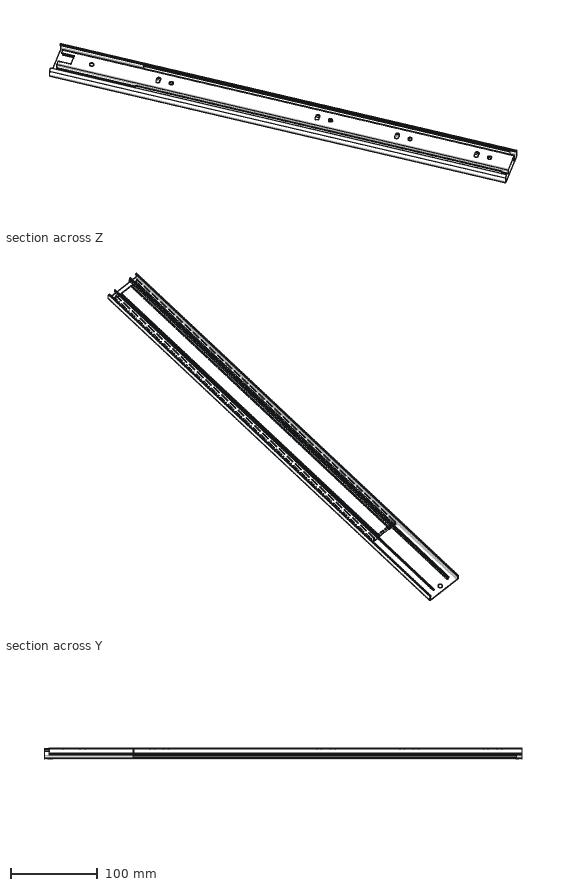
import cadquery as cq
import math


length = 550.0
width = 45.5
height = 12.5

rail_drop = 0.8
rail_floor = 1.2
rail_wall = 1.5
foot_radius = 3.0
wall_step = 1.0
step_bottom = 4.0
step_top = 9.0
lip_radius = 2.5
lip_inner_y = 18.5
rail_hole_x = 6.5
rail_hole_diameter = 5.0

window_length = 3.5
window_width = 3.0
window_end_x = 546.0
window_y = 16.0

cage_start_x = 102.0
cage_end_x = 543.5
cage_bottom = 1.9
cage_sheet = 1.2
cage_foot_y = 17.5
cage_crest_y = 16.5
cage_top = 12.0
bridge_half_width = 8.0
bridge_rise = 1.5
tab_top = 10.5

inner_start_x = 5.5
inner_half_width = 12.5
plate_thickness = 1.2
leg_sheet = 1.4
leg_step = 1.2
leg_step_top = 6.5
leg_step_bottom = 5.5
leg_bottom = 4.7
plate_corner_radius = 1.5
notch_half_width = 6.5
notch_end_x = 21.0

hole_pitch = 34.9 / 2
round_hole_x = 44.0
round_hole_diameter = 5.0
round_hole_steps = (0, 5.5, 16.5, 22, 27.5)
slot_x = 124.5
slot_width = 4.7
slot_height = 8.0
slot_steps = (0, 11, 16.5, 22)


def mirrored_extrusion(half_sketch, start_x, end_x):
    """Extrude along X a closed (Y, Z) half outline on the +Y side and join it to its mirror."""
    half = half_sketch.extrude(end_x - start_x)
    return half.union(half.mirror("XZ")).clean()


def section_plane(start_x):
    """Workplane across the rails at the given X, with local axes along Y and Z."""
    return cq.Workplane("YZ", origin=(start_x, 0, 0))


def floor_cutter(x, y):
    """Workplane on Z = 0 for cutters that run upwards."""
    return cq.Workplane("XY", origin=(x, y, 0))


def step_radius():
    """Radius of the arc that leaves the lower wall tangentially and ends at the upper wall."""
    step_height = step_top - step_bottom
    return (step_height**2 + wall_step**2) / (2 * wall_step)


def make_outer_rail():
    rail_top = height - rail_drop
    lower_outer_y = width / 2
    lower_inner_y = lower_outer_y - rail_wall
    upper_outer_y = lower_outer_y - wall_step
    upper_inner_y = upper_outer_y - rail_wall
    lip_center_y = upper_outer_y - lip_radius
    lip_center_z = rail_top - lip_radius
    inner_foot_radius = foot_radius - rail_wall
    inner_lip_radius = lip_radius - rail_wall
    half_sketch = (
        section_plane(0)
        .moveTo(0, 0)
        .lineTo(lower_outer_y - foot_radius, 0)
        .tangentArcPoint((lower_outer_y, foot_radius), relative=False)
        .lineTo(lower_outer_y, step_bottom)
        .tangentArcPoint((upper_outer_y, step_top), relative=False)
        .lineTo(upper_outer_y, lip_center_z)
        .tangentArcPoint((lip_center_y, rail_top), relative=False)
        .lineTo(lip_inner_y, rail_top)
        .lineTo(lip_inner_y, rail_top - rail_wall)
        .lineTo(lip_center_y, rail_top - rail_wall)
        .radiusArc((lip_center_y + inner_lip_radius, lip_center_z), inner_lip_radius)
        .lineTo(upper_inner_y, step_top)
        .radiusArc((lower_inner_y, step_bottom), step_radius())
        .lineTo(lower_inner_y, rail_floor + inner_foot_radius)
        .radiusArc((lower_inner_y - inner_foot_radius, rail_floor), inner_foot_radius)
        .lineTo(0, rail_floor)
        .close()
    )
    rail = mirrored_extrusion(half_sketch, 0, length)
    rail = rail.cut(floor_cutter(rail_hole_x, 0).circle(rail_hole_diameter / 2).extrude(height))
    for side in (-1, 1):
        window = floor_cutter(window_end_x - window_length / 2, side * window_y)
        rail = rail.cut(window.rect(window_length, window_width).extrude(rail_floor))
    return rail


def make_cage():
    web_top = cage_bottom + cage_sheet
    bridge_bottom = cage_bottom + bridge_rise
    bridge_top = web_top + bridge_rise
    wall_slope = (cage_foot_y - cage_crest_y) / (cage_top - cage_bottom)
    wall_y_width = cage_sheet * math.sqrt(1 + wall_slope**2)
    half_outline = [
        (0, bridge_bottom),
        (bridge_half_width - cage_sheet, bridge_bottom),
        (bridge_half_width - cage_sheet, cage_bottom),
        (cage_foot_y, cage_bottom),
        (cage_crest_y, cage_top),
        (cage_crest_y - wall_y_width, cage_top),
        (cage_foot_y - wall_y_width - cage_sheet * wall_slope, web_top),
        (bridge_half_width, web_top),
        (bridge_half_width, bridge_top),
        (0, bridge_top),
    ]
    half_sketch = section_plane(cage_start_x).polyline(half_outline).close()
    cage = mirrored_extrusion(half_sketch, cage_start_x, cage_end_x)
    tab = cq.Workplane("XY", origin=(cage_start_x, 0, bridge_bottom)).box(
        cage_sheet, 2 * bridge_half_width, tab_top - bridge_bottom, centered=(False, True, False)
    )
    return cage.union(tab)


def make_inner_rail():
    leg_outer_y = inner_half_width
    leg_inner_y = leg_outer_y - leg_sheet
    half_outline = [
        (0, height),
        (leg_outer_y, height),
        (leg_outer_y, leg_step_top),
        (leg_outer_y - leg_step, leg_step_bottom),
        (leg_outer_y - leg_step, leg_bottom),
        (leg_inner_y - leg_step, leg_bottom),
        (leg_inner_y - leg_step, leg_step_bottom),
        (leg_inner_y, leg_step_top),
        (leg_inner_y, height - plate_thickness),
        (0, height - plate_thickness),
    ]
    half_sketch = section_plane(inner_start_x).polyline(half_outline).close()
    rail = mirrored_extrusion(half_sketch, inner_start_x, length)
    rail = rail.edges("|X and >Z").fillet(plate_corner_radius)

    notch_length = notch_end_x - inner_start_x
    notch = floor_cutter(inner_start_x + notch_length / 2, 0)
    rail = rail.cut(notch.rect(notch_length, 2 * notch_half_width).extrude(height))
    for step in round_hole_steps:
        hole = floor_cutter(round_hole_x + step * hole_pitch, 0)
        rail = rail.cut(hole.circle(round_hole_diameter / 2).extrude(height))
    for step in slot_steps:
        slot = floor_cutter(slot_x + step * hole_pitch, 0)
        rail = rail.cut(slot.slot2D(slot_height, slot_width, 90).extrude(height))
    return rail


outer_rail = make_outer_rail()
cage = make_cage()
inner_rail = make_inner_rail()

bodies = [outer_rail, cage, inner_rail]
result = cq.Compound.makeCompound([body.solids().val() for body in bodies])